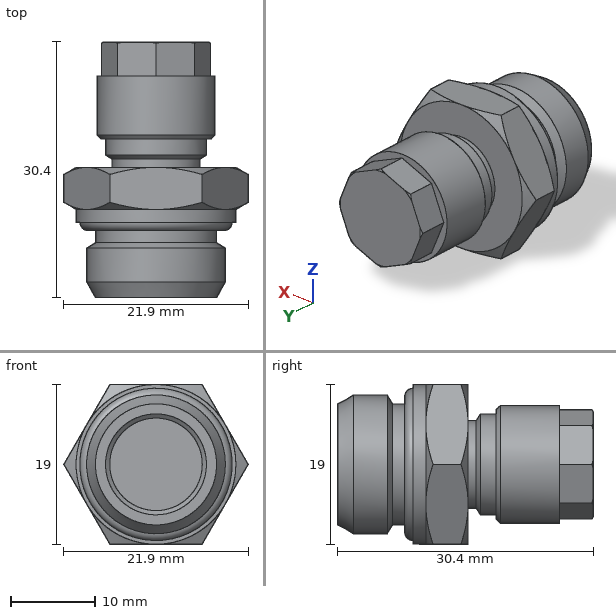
import cadquery as cq
import math

LENGTH = 30.4
LEAD_CHAMFER_END = 1.9
THREAD_CHAMFER_START = 5.9
RELIEF_START = 6.55
FLANGE_START = 8.97
HEX_START = 10.5
HEX_END = 15.5
SHOULDER_START = 16.48
SHOULDER_CHAMFER_END = 16.95
SLEEVE_START = 18.85
SLEEVE_CHAMFER = 0.5
SLEEVE_END = 26.4

THREAD_DIA = 16.5
LEAD_DIA = 14.4
RELIEF_DIA = 14.4
FLANGE_DIA = 19.0
NECK_DIA = 10.5
SHOULDER_DIA = 12.0
SLEEVE_DIA = 14.0

SEAL_OUTER_DIA = 18.12
SEAL_TUBE_DIA = 2.0

HEX_FLATS = 19.0
OCTAGON_FLATS = 12.0
OCTAGON_END_DIA = 12.45
CORNER_CHAMFER_ANGLE = 30.0

RECESS_MOUTH_DIA = 12.0
RECESS_FLOOR_DIA = 11.0
RECESS_TAPER_DEPTH = 0.52
RECESS_DEPTH = 1.2


def revolve_profile(points):
    """Revolve a closed (radius, Y) outline about the Y axis."""
    return cq.Workplane("XY").polyline(points).close().revolve(360, (0, 0), (0, 1))


def prism(sides, flats, start, end):
    """Regular prism along Y with corners on the X axis."""
    corner_dia = flats / math.cos(math.pi / sides)
    plane = cq.Workplane("XZ", origin=(0, start, 0))
    return plane.polygon(sides, corner_dia).extrude(start - end)


def chamfer_envelope(corner_dia, end_dia, start, end, both_ends):
    """Cylinder through the prism corners, coned down to end_dia at its ends."""
    corner = corner_dia / 2
    rim = end_dia / 2
    setback = (corner - rim) * math.tan(math.radians(CORNER_CHAMFER_ANGLE))
    points = [(0, start)]
    if both_ends:
        points += [(rim, start), (corner, start + setback)]
    else:
        points += [(corner, start)]
    points += [(corner, end - setback), (rim, end), (0, end)]
    return revolve_profile(points)


def chamfered_prism(sides, flats, end_dia, start, end, both_ends):
    corner_dia = flats / math.cos(math.pi / sides)
    envelope = chamfer_envelope(corner_dia, end_dia, start, end, both_ends)
    return prism(sides, flats, start, end).intersect(envelope)


def turned_body():
    return revolve_profile([
        (0, 0),
        (LEAD_DIA / 2, 0),
        (THREAD_DIA / 2, LEAD_CHAMFER_END),
        (THREAD_DIA / 2, THREAD_CHAMFER_START),
        (RELIEF_DIA / 2, RELIEF_START),
        (RELIEF_DIA / 2, FLANGE_START),
        (FLANGE_DIA / 2, FLANGE_START),
        (FLANGE_DIA / 2, HEX_START),
        (NECK_DIA / 2, HEX_START),
        (NECK_DIA / 2, SHOULDER_START),
        (SHOULDER_DIA / 2, SHOULDER_CHAMFER_END),
        (SHOULDER_DIA / 2, SLEEVE_START),
        (SLEEVE_DIA / 2 - SLEEVE_CHAMFER, SLEEVE_START),
        (SLEEVE_DIA / 2, SLEEVE_START + SLEEVE_CHAMFER),
        (SLEEVE_DIA / 2, SLEEVE_END),
        (0, SLEEVE_END),
    ])


def seal_ring():
    """Full ring of round section, centred on the flange face."""
    tube_radius = SEAL_TUBE_DIA / 2
    centre_radius = SEAL_OUTER_DIA / 2 - tube_radius
    plane = cq.Workplane("XY", origin=(0, FLANGE_START, 0))
    section = plane.center(centre_radius, 0).circle(tube_radius)
    return section.revolve(360, (-centre_radius, 0), (-centre_radius, 1))


def recess():
    return revolve_profile([
        (0, 0),
        (RECESS_MOUTH_DIA / 2, 0),
        (RECESS_FLOOR_DIA / 2, RECESS_TAPER_DEPTH),
        (RECESS_FLOOR_DIA / 2, RECESS_DEPTH),
        (0, RECESS_DEPTH),
    ])


hexagon = chamfered_prism(6, HEX_FLATS, HEX_FLATS, HEX_START, HEX_END, True)
octagon = chamfered_prism(8, OCTAGON_FLATS, OCTAGON_END_DIA, SLEEVE_END, LENGTH, False)

result = (
    turned_body()
    .union(hexagon)
    .union(octagon)
    .union(seal_ring())
    .cut(recess())
)